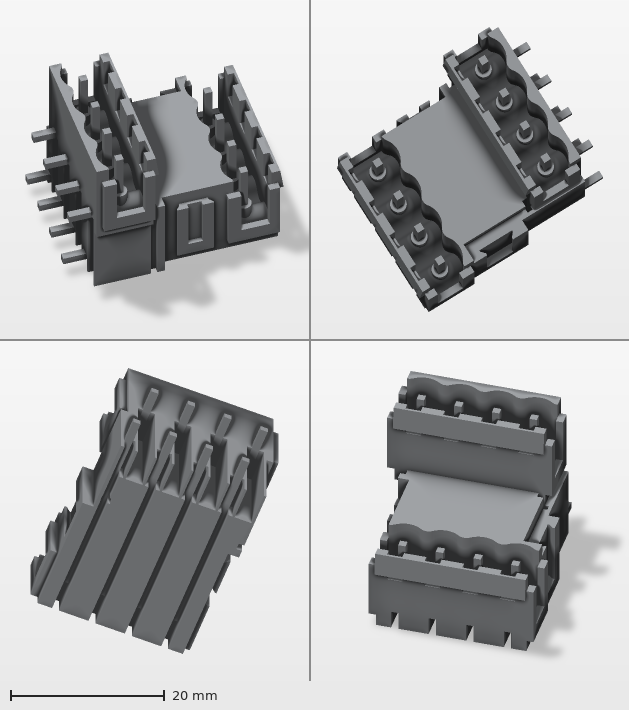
import cadquery as cq
import math


PITCH = 5.1
PINS_PER_ROW = 4
ROW_WIDTH = PINS_PER_ROW * PITCH

TIER_SHIFT = PITCH / 2
TIER_SETBACK = 3.5 * PITCH
TIER_RISE = 2 * PITCH

TOTAL_WIDTH = 24.82
TOTAL_DEPTH = 29.4
TOTAL_HEIGHT = 22.15
LOWER_TOP = TOTAL_HEIGHT - TIER_RISE
LEDGE_HEIGHT = 10.1
TIER_DEPTH = 7.75
HOUSING_DEPTH = TIER_SETBACK + TIER_DEPTH

FRONT_BLOCK_DEPTH = 9.68
FRONT_BLOCK_SHIFT = 1.53
LEDGE_END = 18.03

LEFT_KEY_SLOT_START = 2.0
LEFT_KEY_SLOT_WIDTH = 1.38
LEFT_KEY_SLOT_DEPTH = 0.75
RIGHT_KEY_SLOT_WIDTH = 0.75
RIGHT_KEY_SLOT_DEPTH = 0.85

REAR_WALL_INNER = 6.9
FLOOR_DROP = 8.35

WALL_THICKEST = 1.68
SCALLOP_RIDGE_RADIUS = 1.32
SCALLOP_RADIUS = 2.95
SCALLOP_ANGLE = 36

VALLEY_RADIUS = 1.25
DOME_RADIUS = 1.47
FLOOR_ANGLE = 59

HOOK_DROP = 3.1
HOOK_TOP_OVERHANG = 0.32
HOOK_OVERHANG = 0.75

WINDOW_WIDTH = 2.05
WINDOW_DROP = 4.1

EAR_THICKNESS = (TOTAL_WIDTH - ROW_WIDTH - TIER_SHIFT) / 2
EAR_FRONT = 0.74
EAR_TOP_DROP = 2.1
EAR_BOTTOM_DROP = 10.3
EAR_GAP_FRONT = 2.5
EAR_GAP_REAR = 6.35

PIN_SIZE = 1.0
PIN_SETBACK = 3.85
PIN_TOP_DROP = 0.95
TAIL_LENGTH = TOTAL_DEPTH - HOUSING_DEPTH - HOOK_OVERHANG
LOWER_TAIL_HEIGHT = 2.1
COLLAR_DIAMETER = 2.18
COLLAR_HEIGHT = 1.3

FRONT_SLOT_WIDTH = 2.38
FRONT_SLOT_HEIGHT = 12.03
FRONT_SLOT_DEPTH = PIN_SETBACK + PIN_SIZE / 2
TAIL_SLOT_WIDTH = 2.05
TAIL_SLOT_HEIGHT = LOWER_TAIL_HEIGHT + PIN_SIZE / 2

DOVETAIL_CENTER = 14.0
DOVETAIL_NECK_WIDTH = 3.97
DOVETAIL_WIDTH = 5
DOVETAIL_NECK = 0.3
DOVETAIL_FLARE_END = 0.88
DOVETAIL_LENGTH = 1.1
DOVETAIL_BOTTOM = 1.7
TONGUE_NOTCH_WIDTH = 1.95
TONGUE_NOTCH_DEPTH = 0.68
TONGUE_FOOT = 1.7


def block(x_range, y_range, z_range):
    """Axis-aligned box between the given limits."""
    (x0, x1), (y0, y1), (z0, z1) = x_range, y_range, z_range
    return cq.Workplane("XY").box(x1 - x0, y1 - y0, z1 - z0, centered=False).translate((x0, y0, z0))


def centered(center, width):
    """Limits of a range of the given width about its centre."""
    return (center - width / 2, center + width / 2)


def pin_positions(left):
    """X of each pin in a row that starts at the given left end."""
    return [left + (i + 0.5) * PITCH for i in range(PINS_PER_ROW)]


def ripple_height(edge_radius, middle_radius, angle):
    """Height of a ripple: two tangent arcs joined by a straight flank."""
    slope = math.radians(angle)
    radii = edge_radius + middle_radius
    flank_run = PITCH / 2 - radii * math.sin(slope)
    return radii * (1 - math.cos(slope)) + flank_run * math.tan(slope)


def ripple(path, level, direction, edge_radius, middle_radius, angle):
    """Extend a path by one ripple per pin, starting at x = 0 and leaving the level in the direction."""
    slope = math.radians(angle)
    crest = level + direction * ripple_height(edge_radius, middle_radius, angle)

    def edge_point(x, side, turn):
        rise = edge_radius * (1 - math.cos(turn))
        return (x + side * edge_radius * math.sin(turn), level + direction * rise)

    def middle_point(x, side):
        fall = middle_radius * (1 - math.cos(slope))
        return (x + side * middle_radius * math.sin(slope), crest - direction * fall)

    for x in pin_positions(0):
        start = x - PITCH / 2
        end = x + PITCH / 2
        path = path.threePointArc(edge_point(start, 1, slope / 2), edge_point(start, 1, slope))
        path = path.lineTo(*middle_point(x, -1))
        path = path.threePointArc((x, crest), middle_point(x, 1))
        path = path.lineTo(*edge_point(end, -1, slope))
        path = path.threePointArc(edge_point(end, -1, slope / 2), (end, level))
    return path


def cavity():
    """Space between the walls of a tier, with its top at z = 0."""
    floor_shape = (VALLEY_RADIUS, DOME_RADIUS, FLOOR_ANGLE)
    valley_level = -FLOOR_DROP - ripple_height(*floor_shape)

    plan = cq.Workplane("XY").workplane(offset=valley_level).moveTo(0, WALL_THICKEST)
    plan = ripple(plan, WALL_THICKEST, -1, SCALLOP_RIDGE_RADIUS, SCALLOP_RADIUS, SCALLOP_ANGLE)
    plan = plan.lineTo(ROW_WIDTH, REAR_WALL_INNER).lineTo(0, REAR_WALL_INNER).close()

    section = cq.Workplane("XZ").moveTo(0, valley_level)
    section = ripple(section, valley_level, 1, *floor_shape)
    section = section.lineTo(ROW_WIDTH, 0).lineTo(0, 0).close()

    return plan.extrude(-valley_level).intersect(section.extrude(-TIER_DEPTH))


def ear(left):
    """U-shaped end plate, with the top of its tier at z = 0."""
    outline = [
        (EAR_FRONT, -EAR_BOTTOM_DROP),
        (TIER_DEPTH, -EAR_BOTTOM_DROP),
        (TIER_DEPTH, -EAR_TOP_DROP),
        (EAR_GAP_REAR, -EAR_TOP_DROP),
        (EAR_GAP_REAR, -FLOOR_DROP),
        (EAR_GAP_FRONT, -FLOOR_DROP),
        (EAR_GAP_FRONT, -EAR_TOP_DROP),
        (EAR_FRONT, -EAR_TOP_DROP),
    ]
    return cq.Workplane("YZ").workplane(offset=left).polyline(outline).close().extrude(EAR_THICKNESS)


def hook():
    """Sloped latch rail behind the rear wall, with the top of its tier at z = 0."""
    outline = [
        (TIER_DEPTH, 0),
        (TIER_DEPTH + HOOK_TOP_OVERHANG, 0),
        (TIER_DEPTH + HOOK_OVERHANG, -HOOK_DROP),
        (TIER_DEPTH, -HOOK_DROP),
    ]
    return cq.Workplane("YZ").polyline(outline).close().extrude(ROW_WIDTH)


def tier(left, front, top, bottom):
    """Socket for one row of pins: walls, rippled floor, ears, hook, windows and collars."""
    body = block((0, ROW_WIDTH), (0, TIER_DEPTH), (bottom - top, 0)).cut(cavity())
    body = body.union(hook()).union(ear(-EAR_THICKNESS)).union(ear(ROW_WIDTH))
    for x in pin_positions(0):
        window = block(centered(x, WINDOW_WIDTH), (REAR_WALL_INNER, TIER_DEPTH), (-WINDOW_DROP, 0))
        body = body.cut(window)
        collar = (
            cq.Workplane("XY", origin=(x, PIN_SETBACK, -EAR_BOTTOM_DROP))
            .circle(COLLAR_DIAMETER / 2)
            .extrude(EAR_BOTTOM_DROP - FLOOR_DROP + COLLAR_HEIGHT)
        )
        body = body.union(collar)
    return body.translate((left, front, top))


def base():
    """Block that carries both tiers, jogged sideways at the front, with a key slot near each side."""
    front_right = ROW_WIDTH + FRONT_BLOCK_SHIFT
    rear_block = block((0, ROW_WIDTH), (FRONT_BLOCK_DEPTH, TIER_SETBACK), (0, LOWER_TOP))
    front_block = block((FRONT_BLOCK_SHIFT, front_right), (0, FRONT_BLOCK_DEPTH), (0, LOWER_TOP))
    left_key_slot = block(
        (LEFT_KEY_SLOT_START, LEFT_KEY_SLOT_START + LEFT_KEY_SLOT_WIDTH),
        (TIER_DEPTH, TIER_DEPTH + LEFT_KEY_SLOT_DEPTH),
        (0, LOWER_TOP),
    )
    right_key_slot = block(
        (front_right - RIGHT_KEY_SLOT_WIDTH, front_right),
        (TIER_DEPTH, TIER_DEPTH + RIGHT_KEY_SLOT_DEPTH),
        (0, LOWER_TOP),
    )
    return rear_block.union(front_block).cut(left_key_slot).cut(right_key_slot)


def dovetail(face):
    """Dovetail prism that widens to the right of an upright side face."""
    neck = DOVETAIL_NECK_WIDTH / 2
    wide = DOVETAIL_WIDTH / 2
    half = [(0, neck), (DOVETAIL_NECK, neck), (DOVETAIL_FLARE_END, wide), (DOVETAIL_LENGTH, wide)]
    outline = half + [(x, -y) for x, y in reversed(half)]
    return (
        cq.Workplane("XY", origin=(face, DOVETAIL_CENTER, DOVETAIL_BOTTOM))
        .polyline(outline)
        .close()
        .extrude(LEDGE_HEIGHT - DOVETAIL_BOTTOM)
    )


def dovetail_tongue():
    """Tongue on the right side, notched in the middle of its end face above a solid foot."""
    end = ROW_WIDTH + DOVETAIL_LENGTH
    notch = block(
        (end - TONGUE_NOTCH_DEPTH, end),
        centered(DOVETAIL_CENTER, TONGUE_NOTCH_WIDTH),
        (DOVETAIL_BOTTOM + TONGUE_FOOT, LEDGE_HEIGHT),
    )
    return dovetail(ROW_WIDTH).cut(notch)


def front_slots():
    """Tall slots in the front face, one below each upper pin tail."""
    slots = cq.Workplane("XY")
    for x in pin_positions(TIER_SHIFT):
        slot = block(centered(x, FRONT_SLOT_WIDTH), (0, FRONT_SLOT_DEPTH), (0, FRONT_SLOT_HEIGHT))
        slots = slots.add(slot)
    return slots.combine()


def tail_slots():
    """Channels along the underside for the lower pin tails, widened near the front face."""
    slots = cq.Workplane("XY")
    heights = (0, TAIL_SLOT_HEIGHT)
    for i, x in enumerate(pin_positions(0)):
        pin_left, pin_right = centered(x, PIN_SIZE)
        wide_left, wide_right = centered(x, TAIL_SLOT_WIDTH)
        if i == 0:
            wide_left = pin_left
        slots = slots.add(block((pin_left, pin_right), (0, HOUSING_DEPTH), heights))
        slots = slots.add(block((wide_left, wide_right), (0, FRONT_SLOT_DEPTH), heights))
    return slots.combine()


def bent_pin(x, setback, top, tail_height):
    """L-shaped square pin: an upright contact and a tail that leaves through the front face."""
    rear = setback + PIN_SIZE / 2
    tail_bottom = tail_height - PIN_SIZE / 2
    contact = block(centered(x, PIN_SIZE), centered(setback, PIN_SIZE), (tail_bottom, top))
    tail = block(centered(x, PIN_SIZE), (-TAIL_LENGTH, rear), centered(tail_height, PIN_SIZE))
    return contact.union(tail)


pins = []
for x in pin_positions(TIER_SHIFT):
    pins.append(bent_pin(x, PIN_SETBACK, TOTAL_HEIGHT - PIN_TOP_DROP, LOWER_TAIL_HEIGHT + TIER_RISE))
for x in pin_positions(0):
    pins.append(bent_pin(x, PIN_SETBACK + TIER_SETBACK, LOWER_TOP - PIN_TOP_DROP, LOWER_TAIL_HEIGHT))

upper_tier = tier(TIER_SHIFT, 0, TOTAL_HEIGHT, LEDGE_HEIGHT)
lower_tier = tier(0, TIER_SETBACK, LOWER_TOP, 0)
ledge_space = block((0, TIER_SHIFT), (0, LEDGE_END), (LEDGE_HEIGHT, LOWER_TOP))
housing = base().union(lower_tier).cut(ledge_space).union(upper_tier)
housing = housing.cut(dovetail(0)).union(dovetail_tongue())
housing = housing.cut(front_slots()).cut(tail_slots())
for pin in pins:
    housing = housing.cut(pin)

result = cq.Compound.makeCompound([housing.val(), *[pin.val() for pin in pins]])